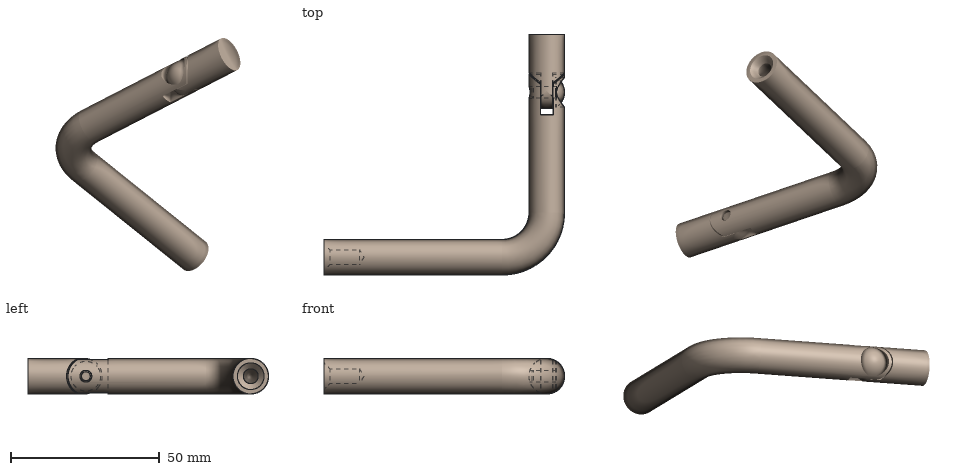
import cadquery as cq
import math

rod_radius = 6.0
leg_length = 60.0
bend_radius = 15.0
arm_axis_x = leg_length + bend_radius
arm_end_y = leg_length + bend_radius

pivot_y = arm_end_y - 19.5
fork_end_gap = 0.5
hinge_end_radius = 6.5
slot_width = 4.2
slot_floor_y = arm_end_y - 27.0
tongue_width = 4.0
tongue_end_y = arm_end_y - 25.0

bore_diameter = 5.0
bore_depth = 12.0
countersink_diameter = 9.0
countersink_angle = 90.0
drill_point_angle = 118.0

pin_diameter = 4.0
pin_chamfer = 0.5
pin_end_recess = 1.0
pin_head_diameter = 10.0
pin_head_seat = 3.0
pin_dome_edge = 3.2


def cross_disc(radius, x_start, x_end, centre_y=pivot_y):
    """Cylinder along X, on the pivot axis by default, between two X offsets from the arm axis."""
    return (
        cq.Workplane("YZ", origin=(arm_axis_x + x_start, centre_y, 0))
        .circle(radius)
        .extrude(x_end - x_start)
    )


def y_block(width, y_start, y_end):
    """Block on the arm axis, as tall as the rod."""
    return cq.Workplane("XY").box(
        width, y_end - y_start, 2 * rod_radius, centered=(True, False, True)
    ).translate((arm_axis_x, y_start, 0))


def arm_cylinder(y_start, y_end):
    """Length of round bar on the arm axis."""
    return (
        cq.Workplane("XZ", origin=(arm_axis_x, y_start, 0))
        .circle(rod_radius)
        .extrude(y_start - y_end)
    )


def make_tongue():
    """Tongue with a full round end, as thick as the rod, reaching into the slot."""
    round_centre_y = tongue_end_y + rod_radius
    half_width = tongue_width / 2
    round_end = cross_disc(rod_radius, -half_width, half_width, round_centre_y)
    return round_end.union(y_block(tongue_width, round_centre_y, arm_end_y))


def end_bore():
    """Countersink, bore and drill point, revolved about the X leg's axis."""
    bore_radius = bore_diameter / 2
    mouth_radius = countersink_diameter / 2
    countersink_depth = (mouth_radius - bore_radius) / math.tan(math.radians(countersink_angle / 2))
    point_depth = bore_radius / math.tan(math.radians(drill_point_angle / 2))
    return (
        cq.Workplane("XY")
        .moveTo(0, 0)
        .lineTo(0, mouth_radius)
        .lineTo(countersink_depth, bore_radius)
        .lineTo(bore_depth, bore_radius)
        .lineTo(bore_depth + point_depth, 0)
        .close()
        .revolve(360, (0, 0, 0), (1, 0, 0))
    )


def pin_hole():
    """Through hole for the pin and the counterbore for its head."""
    hole = cross_disc(pin_diameter / 2, -rod_radius, rod_radius)
    return hole.union(cross_disc(pin_head_diameter / 2, pin_head_seat, rod_radius))


def make_rod():
    leg = cq.Workplane("YZ").circle(rod_radius).extrude(leg_length)
    bend = (
        cq.Workplane("YZ", origin=(leg_length, 0, 0))
        .circle(rod_radius)
        .revolve(90, (bend_radius, 0, 0), (bend_radius, 1, 0))
    )
    arm = arm_cylinder(bend_radius, pivot_y)
    fork_tip = arm_cylinder(pivot_y, arm_end_y).intersect(
        cross_disc(hinge_end_radius, -rod_radius, rod_radius, pivot_y - fork_end_gap)
    )
    slot = y_block(slot_width, slot_floor_y, arm_end_y)
    rod = leg.union(bend).union(arm).union(fork_tip)
    return rod.cut(slot).cut(pin_hole()).cut(end_bore())


def make_end_piece():
    bar = arm_cylinder(slot_floor_y, arm_end_y)
    cheek_recess = cross_disc(hinge_end_radius, -rod_radius, rod_radius).union(
        y_block(2 * rod_radius, slot_floor_y, pivot_y)
    )
    return bar.cut(cheek_recess.cut(make_tongue())).cut(pin_hole())


def make_pin():
    """Pin profile revolved about the pivot axis."""
    shank_radius = pin_diameter / 2
    head_radius = pin_head_diameter / 2
    tip = pin_end_recess - rod_radius
    dome_height = rod_radius - pin_dome_edge
    dome_radius = (head_radius**2 + dome_height**2) / (2 * dome_height)
    dome_centre = rod_radius - dome_radius
    half_angle = math.asin(head_radius / dome_radius) / 2
    dome_middle = (
        dome_centre + dome_radius * math.cos(half_angle),
        dome_radius * math.sin(half_angle),
    )
    return (
        cq.Workplane("XY", origin=(arm_axis_x, pivot_y, 0))
        .moveTo(tip, 0)
        .lineTo(tip, shank_radius - pin_chamfer)
        .lineTo(tip + pin_chamfer, shank_radius)
        .lineTo(pin_head_seat, shank_radius)
        .lineTo(pin_head_seat, head_radius)
        .lineTo(pin_dome_edge, head_radius)
        .threePointArc(dome_middle, (rod_radius, 0))
        .close()
        .revolve(360, (0, 0, 0), (1, 0, 0))
    )


rod = make_rod()
end_piece = make_end_piece()
pin = make_pin()

result = cq.Compound.makeCompound([rod.val(), end_piece.val(), pin.val()])